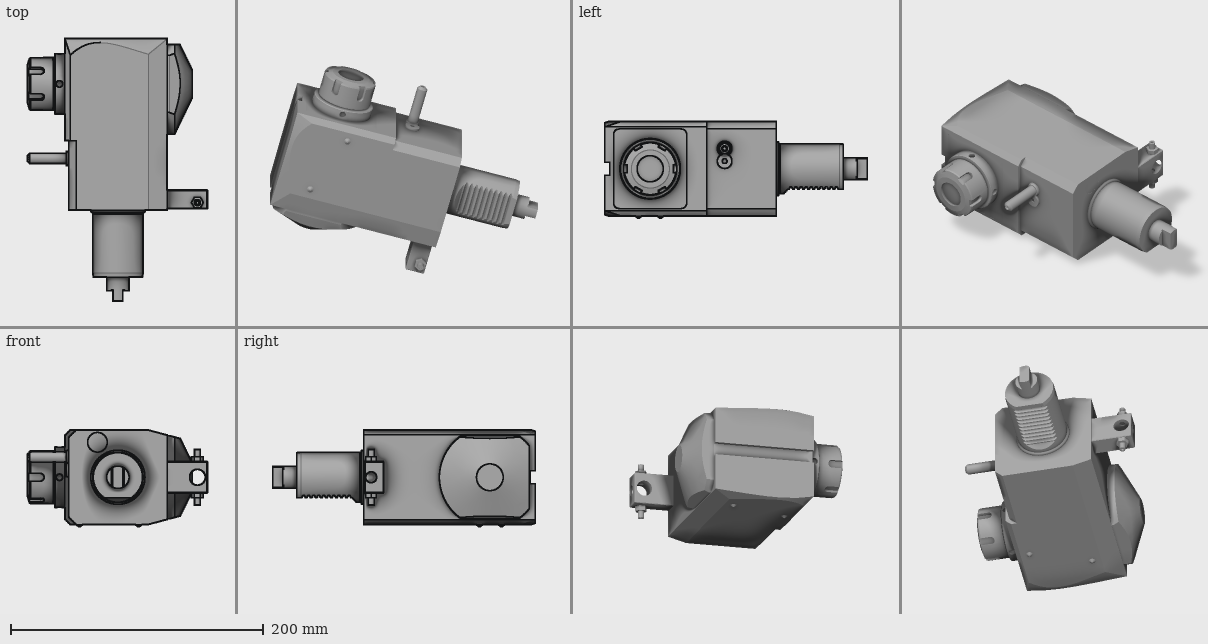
import cadquery as cq
import math


HALF_HEIGHT = 37.5
HOUSING_LENGTH = 136.0
LEFT_X = -42.0
RELIEVED_LEFT_X = -39.0
RIGHT_X = 39.0
STEP_Y = 55.0
LEFT_CHAMFER = 4.3
RELIEVED_CHAMFER = 6.0
SLOPE_START_X = 24.0
SLOPE_ANGLE = 15.0
SLOPE = math.tan(math.radians(SLOPE_ANGLE))
RIGHT_HALF_HEIGHT = HALF_HEIGHT - (RIGHT_X - SLOPE_START_X) * SLOPE

CROWN_RIGHT = (SLOPE_START_X, 123.7)
CROWN_FALL = (HALF_HEIGHT - RIGHT_HALF_HEIGHT) / (HOUSING_LENGTH - CROWN_RIGHT[1])
CROWN_LEFT = (LEFT_X + LEFT_CHAMFER, HOUSING_LENGTH - LEFT_CHAMFER / CROWN_FALL)
CROWN_MIDDLE = [(-24.0, 131.4), (-11.0, 132.7), (8.5, 128.4)]
CROWN_LEFT_RUNOUT = (CROWN_LEFT[0] - 2.0, CROWN_LEFT[1] - 2.0)
CROWN_RIGHT_RUNOUT = (CROWN_RIGHT[0] + 2.5, CROWN_RIGHT[1] - 0.7)
KEYWAY_WIDTH = 10.0
KEYWAY_DEPTH = 4.0
CUTTER_MARGIN = 20.0

SEAM_STEP = 0.1
PLATE_LENGTH = 58.0
PLATE_HEIGHT = 63.0
PLATE_CORNER = 4.5
PLUG_X = -16.2
PLUG_Z = 27.7
PLUG_RADIUS = 7.8

SHANK_RADIUS = 20.0
SHANK_LENGTH = 53.0
SHANK_END_RADIUS = 19.5
SHANK_END_TAPER = 3.3
SEAL_RADIUS = 21.5
SEAL_LENGTH = 2.0
SEAL_ROUND = 1.5
SHANK_NECK_RADIUS = 19.8
SHANK_NECK_END = 3.1
TANG_RADIUS = 8.9
TANG_SHOULDER = 64.0
TANG_END = 72.0
TANG_HALF_WIDTH = 3.9
UNDERCUT_WIDTH = 1.2
UNDERCUT_DEPTH = 0.7

RACK_START = 5.3
RACK_TIP_Z = -16.4
RACK_ROOT_Z = -14.4
RACK_PITCH = 4.0
RACK_GROOVE_WIDTH = 3.2
RACK_ROOT_WIDTH = 0.9
RACK_FIRST_GROOVE = 11.5
RACK_GROOVES = 10

SPINDLE_Y = 100.0
NUT_FACE_X = -71.6
NUT_BACK_X = -51.2
NUT_RADIUS = 21.0
NUT_RIM_RADIUS = 20.5
NUT_FACE_RADIUS = 15.1
NUT_CONE_DEPTH = 1.6
NUT_RIM_DEPTH = 2.7
NECK_RADIUS = 19.0
RING_RADIUS = 24.0
RING_FACE_X = -50.2
RING_CHAMFER = 0.5
COLLET_RADIUS = 10.4
COLLET_DEPTH = 2.2
WRENCH_SLOTS = 6
SLOT_WIDTH = 6.2
SLOT_LENGTH = 13.2
SLOT_FLOOR_RADIUS = 18.2
RING_HOLES = 4
RING_HOLE_RADIUS = 2.6
RING_HOLE_DEPTH = 4.0
RING_HOLE_X = -46.3
DRILL_HALF_ANGLE = 59.0
DRILL_POINT = RING_HOLE_RADIUS * math.tan(math.radians(90 - DRILL_HALF_ANGLE))

CAP_RADIUS = 40.0
CAP_CONE_X = 44.9
CAP_END_X = 59.1
CAP_END_RADIUS = 10.6
CAP_REAR_Y = 131.4
CAP_SHELF_X = 40.8
CAP_SHELF_Z = RIGHT_HALF_HEIGHT - (CAP_SHELF_X - RIGHT_X) * SLOPE

PIN_Y = 41.0
PIN_Z = 16.0
PIN_TIP_X = NUT_FACE_X
PIN_RADIUS = 4.1
PIN_TIP_CHAMFER = 1.9
PIN_SOCKET = 3.0
SCREW_Z = 6.0
HEAD_RADIUS = 5.8
FLANGE_OUTER_RADIUS = 4.9
HEAD_HEIGHT = 1.9
SCREW_SOCKET = 3.6
SOCKET_DEPTH = 1.5

BRACKET_END_X = 71.0
BRACKET_FRONT_Y = 1.0
BRACKET_BACK_Y = 16.0
BRACKET_HALF_HEIGHT = 12.5
BRACKET_CHAMFER = 0.5
BORE_X = 63.0
BORE_RADIUS = 6.2
SIDE_HOLE_RADIUS = 4.3
SET_SCREW_Y = 6.0
SET_SCREW_RADIUS = 2.4
SET_SCREW_END_Z = 22.0
SET_SCREW_TIP_Z = 7.5
SET_SCREW_SOCKET = 2.5
NUT_ACROSS_FLATS = 8.2
NUT_HEIGHT = 3.9

NOZZLES = [(-30.5, 91.7), (16.5, 109.3)]
NOZZLE_BASE_RADIUS = 2.6
NOZZLE_TIP_RADIUS = 0.6
NOZZLE_HEIGHT = 1.6


def cylinder(start, direction, radius, length):
    return cq.Workplane(cq.Solid.makeCylinder(radius, length, cq.Vector(*start), cq.Vector(*direction)))


def cone(start, direction, start_radius, end_radius, length):
    solid = cq.Solid.makeCone(start_radius, end_radius, length, cq.Vector(*start), cq.Vector(*direction))
    return cq.Workplane(solid)


def box(low, high):
    size = [b - a for a, b in zip(low, high)]
    return cq.Workplane().box(*size, centered=False).translate(low)


def hexagon(plane, start, across_flats, length):
    corner_diameter = across_flats / math.cos(math.radians(30))
    return cq.Workplane(plane, origin=start).polygon(6, corner_diameter).extrude(length)


def housing_section(left_x, chamfer, front_y, back_y):
    """Prism along Y with chamfered left edges and a sloped right side."""
    upper = [
        (left_x, HALF_HEIGHT - chamfer),
        (left_x + chamfer, HALF_HEIGHT),
        (SLOPE_START_X, HALF_HEIGHT),
        (RIGHT_X, RIGHT_HALF_HEIGHT),
    ]
    lower = [(x, -z) for x, z in reversed(upper)]
    profile = cq.Workplane("XZ", origin=(0, front_y, 0)).polyline(upper + lower).close()
    return profile.extrude(front_y - back_y)


def crown_cutter():
    """Material outside the ruled surface that joins the top face's crown curve to the rear face."""
    top_width = CROWN_RIGHT[0] - CROWN_LEFT[0]
    rear_stretch = (RIGHT_X - LEFT_X) / top_width
    top_curve = [CROWN_LEFT_RUNOUT, CROWN_LEFT, *CROWN_MIDDLE, CROWN_RIGHT, CROWN_RIGHT_RUNOUT]
    top_points = []
    rear_points = []
    for x, y in top_curve:
        rear_x = LEFT_X + (x - CROWN_LEFT[0]) * rear_stretch
        rear_z = HALF_HEIGHT - (HOUSING_LENGTH - y) * CROWN_FALL
        top_points.append(cq.Vector(x, y, HALF_HEIGHT))
        rear_points.append(cq.Vector(rear_x, HOUSING_LENGTH, rear_z))
    surface = cq.Face.makeRuledSurface(cq.Edge.makeSpline(top_points), cq.Edge.makeSpline(rear_points))
    outward = cq.Vector(0, CUTTER_MARGIN, CUTTER_MARGIN)
    return cq.Workplane(cq.Solid.extrudeLinear(surface, outward))


def make_housing():
    spindle_block = housing_section(LEFT_X, LEFT_CHAMFER, STEP_Y, HOUSING_LENGTH)
    shank_block = housing_section(RELIEVED_LEFT_X, RELIEVED_CHAMFER, 0, STEP_Y)
    crown = crown_cutter()
    keyway = box(
        (LEFT_X, HOUSING_LENGTH - KEYWAY_DEPTH, -KEYWAY_WIDTH / 2),
        (RIGHT_X, HOUSING_LENGTH, KEYWAY_WIDTH / 2),
    )
    plate = (
        cq.Workplane("YZ", origin=(LEFT_X, SPINDLE_Y, 0))
        .rect(PLATE_LENGTH, PLATE_HEIGHT)
        .extrude(SEAM_STEP)
        .edges("|X")
        .fillet(PLATE_CORNER)
    )
    plug = cylinder((PLUG_X, 0, PLUG_Z), (0, 1, 0), PLUG_RADIUS, SEAM_STEP)
    solid = spindle_block.union(shank_block)
    return solid.cut(crown).cut(crown.mirror("XY")).cut(keyway).cut(plate).cut(plug)


def rack_cutter():
    """Material below the toothed flat, bounded by a 45 degree run-out at its start."""
    below = -SHANK_RADIUS - CUTTER_MARGIN
    run_out_end = RACK_START + SHANK_RADIUS + RACK_TIP_Z
    points = [(CUTTER_MARGIN - RACK_START, below), (-run_out_end, RACK_TIP_Z)]
    for index in range(RACK_GROOVES):
        groove_y = -RACK_FIRST_GROOVE - index * RACK_PITCH
        points += [
            (groove_y + RACK_GROOVE_WIDTH / 2, RACK_TIP_Z),
            (groove_y + RACK_ROOT_WIDTH / 2, RACK_ROOT_Z),
            (groove_y - RACK_ROOT_WIDTH / 2, RACK_ROOT_Z),
            (groove_y - RACK_GROOVE_WIDTH / 2, RACK_TIP_Z),
        ]
    points += [(-SHANK_LENGTH, RACK_TIP_Z), (-SHANK_LENGTH, below)]
    outline = cq.Workplane("YZ").polyline(points).close()
    return outline.extrude(SHANK_RADIUS + CUTTER_MARGIN, both=True)


def make_shank():
    round_drop = SEAL_ROUND * (1 - math.cos(math.radians(45)))
    round_start = SEAL_ROUND - SEAL_LENGTH
    shank = (
        cq.Workplane("XY")
        .lineTo(SEAL_RADIUS, 0)
        .lineTo(SEAL_RADIUS, round_start)
        .threePointArc(
            (SEAL_RADIUS - round_drop, round_drop - SEAL_LENGTH),
            (SEAL_RADIUS - SEAL_ROUND, -SEAL_LENGTH),
        )
        .lineTo(SHANK_NECK_RADIUS, -SEAL_LENGTH)
        .lineTo(SHANK_NECK_RADIUS, -SHANK_NECK_END)
        .lineTo(SHANK_RADIUS, -SHANK_NECK_END)
        .lineTo(SHANK_RADIUS, SHANK_END_TAPER - SHANK_LENGTH)
        .lineTo(SHANK_END_RADIUS, -SHANK_LENGTH)
        .lineTo(0, -SHANK_LENGTH)
        .close()
        .revolve(360, (0, 0), (0, 1))
    )
    return shank.cut(rack_cutter())


def make_tang():
    shoulder_length = TANG_SHOULDER - SHANK_LENGTH
    shoulder = cylinder((0, -SHANK_LENGTH, 0), (0, -1, 0), TANG_RADIUS, shoulder_length)
    groove_half_width = TANG_HALF_WIDTH + UNDERCUT_WIDTH
    undercut = box(
        (-groove_half_width, -TANG_SHOULDER, -TANG_RADIUS),
        (groove_half_width, UNDERCUT_DEPTH - TANG_SHOULDER, TANG_RADIUS),
    )
    blade = cylinder((0, -SHANK_LENGTH, 0), (0, -1, 0), TANG_RADIUS, TANG_END - SHANK_LENGTH)
    flats = box(
        (-TANG_HALF_WIDTH, -TANG_END, -TANG_RADIUS),
        (TANG_HALF_WIDTH, -SHANK_LENGTH, TANG_RADIUS),
    )
    return shoulder.cut(undercut).union(blade.intersect(flats))


def make_wrench_slot():
    """Round-ended slot cutter at the +Y side of a nut on the X axis."""
    half_width = SLOT_WIDTH / 2
    slot = box(
        (NUT_FACE_X, SLOT_FLOOR_RADIUS, -half_width),
        (NUT_FACE_X + SLOT_LENGTH - half_width, RING_RADIUS, half_width),
    )
    slot_end = (NUT_FACE_X + SLOT_LENGTH - half_width, SLOT_FLOOR_RADIUS, 0)
    return slot.union(cylinder(slot_end, (0, 1, 0), half_width, RING_RADIUS - SLOT_FLOOR_RADIUS))


def make_ring_hole():
    floor_radius = RING_RADIUS - RING_HOLE_DEPTH
    floor = (RING_HOLE_X, floor_radius, 0)
    hole = cylinder(floor, (0, 1, 0), RING_HOLE_RADIUS, RING_HOLE_DEPTH)
    return hole.union(cone(floor, (0, -1, 0), RING_HOLE_RADIUS, 0, DRILL_POINT))


def make_spindle():
    profile = [
        (LEFT_X + SEAM_STEP, 0),
        (NUT_FACE_X, 0),
        (NUT_FACE_X, NUT_FACE_RADIUS),
        (NUT_FACE_X + NUT_CONE_DEPTH, NUT_RIM_RADIUS),
        (NUT_FACE_X + NUT_RIM_DEPTH, NUT_RADIUS),
        (NUT_BACK_X, NUT_RADIUS),
        (NUT_BACK_X, NECK_RADIUS),
        (RING_FACE_X, NECK_RADIUS),
        (RING_FACE_X, RING_RADIUS - RING_CHAMFER),
        (RING_FACE_X + RING_CHAMFER, RING_RADIUS),
        (LEFT_X + SEAM_STEP, RING_RADIUS),
    ]
    spindle = cq.Workplane("XY").polyline(profile).close().revolve(360, (0, 0), (1, 0))
    spindle = spindle.cut(cylinder((NUT_FACE_X, 0, 0), (1, 0, 0), COLLET_RADIUS, COLLET_DEPTH))
    for cutter, count in ((make_wrench_slot(), WRENCH_SLOTS), (make_ring_hole(), RING_HOLES)):
        for index in range(count):
            spindle = spindle.cut(cutter.rotate((0, 0, 0), (1, 0, 0), index * 360 / count))
    return spindle.translate((0, SPINDLE_Y, 0))


def make_cap():
    round_cap = cylinder((RIGHT_X, SPINDLE_Y, 0), (1, 0, 0), CAP_RADIUS, CAP_CONE_X - RIGHT_X)
    cap_cone = cone(
        (CAP_CONE_X, SPINDLE_Y, 0), (1, 0, 0), CAP_RADIUS, CAP_END_RADIUS, CAP_END_X - CAP_CONE_X
    )
    end_z = CAP_SHELF_Z - (CAP_END_X - CAP_SHELF_X) * SLOPE
    upper = [(RIGHT_X, CAP_SHELF_Z), (CAP_SHELF_X, CAP_SHELF_Z), (CAP_END_X, end_z)]
    lower = [(x, -z) for x, z in reversed(upper)]
    envelope = (
        cq.Workplane("XZ", origin=(0, CAP_REAR_Y, 0))
        .polyline(upper + lower)
        .close()
        .extrude(CAP_REAR_Y - SPINDLE_Y + CAP_RADIUS)
    )
    return round_cap.union(cap_cone).intersect(envelope)


def make_pin():
    length = RELIEVED_LEFT_X - PIN_TIP_X
    pin = cylinder((RELIEVED_LEFT_X, PIN_Y, PIN_Z), (-1, 0, 0), PIN_RADIUS, length)
    pin = pin.faces("<X").edges().chamfer(PIN_TIP_CHAMFER)
    return pin.cut(hexagon("YZ", (PIN_TIP_X, PIN_Y, PIN_Z), PIN_SOCKET, SOCKET_DEPTH))


def make_pin_and_screw():
    outward = (-1, 0, 0)
    flange = cone((RELIEVED_LEFT_X, PIN_Y, PIN_Z), outward, HEAD_RADIUS, FLANGE_OUTER_RADIUS, HEAD_HEIGHT)
    screw = cylinder((RELIEVED_LEFT_X, PIN_Y, SCREW_Z), outward, HEAD_RADIUS, HEAD_HEIGHT)
    socket_start = (RELIEVED_LEFT_X - HEAD_HEIGHT, PIN_Y, SCREW_Z)
    screw = screw.cut(hexagon("YZ", socket_start, SCREW_SOCKET, SOCKET_DEPTH))
    return make_pin().union(flange).union(screw)


def make_set_screw():
    """Upper set screw with its lock nut."""
    nut = hexagon("XY", (BORE_X, SET_SCREW_Y, BRACKET_HALF_HEIGHT), NUT_ACROSS_FLATS, NUT_HEIGHT)
    screw_start = (BORE_X, SET_SCREW_Y, BRACKET_HALF_HEIGHT)
    screw = cylinder(screw_start, (0, 0, 1), SET_SCREW_RADIUS, SET_SCREW_END_Z - BRACKET_HALF_HEIGHT)
    socket_floor = (BORE_X, SET_SCREW_Y, SET_SCREW_END_Z - SOCKET_DEPTH)
    return nut.union(screw).cut(hexagon("XY", socket_floor, SET_SCREW_SOCKET, SOCKET_DEPTH))


def make_bracket():
    bracket = box(
        (RIGHT_X, BRACKET_FRONT_Y, -BRACKET_HALF_HEIGHT),
        (BRACKET_END_X, BRACKET_BACK_Y, BRACKET_HALF_HEIGHT),
    )
    bracket = bracket.edges("|X or >X").chamfer(BRACKET_CHAMFER)
    bore_length = BRACKET_BACK_Y - BRACKET_FRONT_Y
    bore = cylinder((BORE_X, BRACKET_FRONT_Y, 0), (0, 1, 0), BORE_RADIUS, bore_length)
    side_hole = cylinder(
        (BORE_X, SET_SCREW_Y, 0), (1, 0, 0), SIDE_HOLE_RADIUS, BRACKET_END_X - BORE_X
    )
    tapped_hole = cylinder(
        (BORE_X, SET_SCREW_Y, -SET_SCREW_TIP_Z), (0, 0, 1), SET_SCREW_RADIUS, 2 * SET_SCREW_TIP_Z
    )
    set_screw = make_set_screw()
    bracket = bracket.cut(bore).cut(side_hole).cut(tapped_hole)
    return bracket.union(set_screw).union(set_screw.mirror("XY"))


def make_nozzle(x, y):
    return cone((x, y, -HALF_HEIGHT), (0, 0, -1), NOZZLE_BASE_RADIUS, NOZZLE_TIP_RADIUS, NOZZLE_HEIGHT)


result = make_housing()
for component in (
    make_shank(),
    make_tang(),
    make_spindle(),
    make_cap(),
    make_pin_and_screw(),
    make_bracket(),
):
    result = result.union(component)
for nozzle_x, nozzle_y in NOZZLES:
    result = result.union(make_nozzle(nozzle_x, nozzle_y))